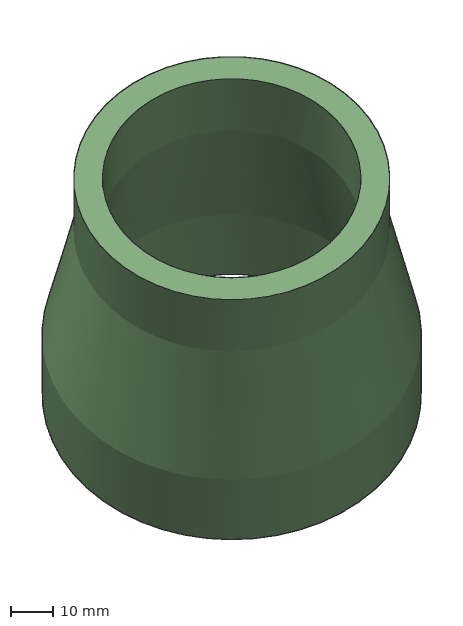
import cadquery as cq

base_diameter = 90.0
neck_diameter = 75.0
neck_bore = 61.3
total_height = 80.0
base_height = 22.1
neck_height = 19.3

base_bore = base_diameter * neck_bore / neck_diameter
cone_top = total_height - neck_height


def stepped_cone(base_radius, neck_radius):
    """Solid of revolution about Z: base cylinder, cone, neck cylinder."""
    return (
        cq.Workplane("XZ")
        .moveTo(0, 0)
        .lineTo(base_radius, 0)
        .lineTo(base_radius, base_height)
        .lineTo(neck_radius, cone_top)
        .lineTo(neck_radius, total_height)
        .lineTo(0, total_height)
        .close()
        .revolve(360, (0, 0, 0), (0, 1, 0))
    )


outer_body = stepped_cone(base_diameter / 2, neck_diameter / 2)
inner_passage = stepped_cone(base_bore / 2, neck_bore / 2)

result = outer_body.cut(inner_passage)